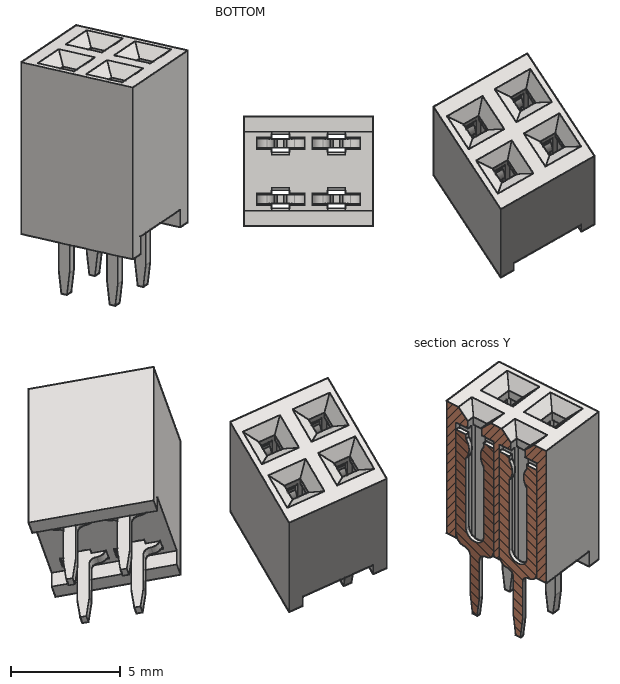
import cadquery as cq
import math


pitch = 2.54
contact_spots = [(sx * pitch / 2, sy * pitch / 2) for sx in (-1, 1) for sy in (-1, 1)]

overall_height = 11.5

housing_length = 5.88
housing_width = 5.0
housing_height = 8.5

foot_thickness = 0.7
recess_height = 0.87

funnel_width = 1.9
throat_width = 0.8
throat_length = 0.45
funnel_depth = (funnel_width - throat_width) / 2

cavity_width = 1.04
slot_width = 0.54
cavity_top = housing_height - funnel_depth - throat_length

tail_length = overall_height - housing_height
tail_width = 0.58
tip_width = 0.3
taper_length = 1.14
contact_thickness = 0.41

shoulder_z = 0.63
shoulder_fillet = 0.35
shoulder_round = 0.46
fork_width = tail_width + 2 * (shoulder_fillet + shoulder_round)
valley_radius = 0.51
tine_thickness = fork_width / 2 - valley_radius
valley_center_z = shoulder_z + tine_thickness + valley_radius
tine_top_z = 7.13
bulge_gap = 0.64
bulge_radius = 0.92
bulge_center_z = 6.32


def box_between(length, width, bottom, top):
    """Box centred on the Z axis, spanning the heights bottom to top."""
    return cq.Workplane("XY").workplane(offset=bottom).rect(length, width).extrude(top - bottom)


def make_socket_cutter():
    """Funnel, throat and cross-shaped cavity of one contact position."""
    funnel = (
        cq.Workplane("XY")
        .workplane(offset=housing_height)
        .rect(funnel_width, funnel_width)
        .workplane(offset=-funnel_depth)
        .rect(throat_width, throat_width)
        .loft(ruled=True)
    )
    throat = box_between(throat_width, throat_width, 0, housing_height - funnel_depth)
    cavity = box_between(throat_width, cavity_width, 0, cavity_top)
    tine_slot = box_between(fork_width, slot_width, 0, cavity_top)
    return funnel.union(throat).union(cavity).union(tine_slot)


def make_housing():
    """Block with a recessed underside and one socket per contact."""
    housing = box_between(housing_length, housing_width, 0, housing_height)
    recess_width = housing_width - 2 * foot_thickness
    housing = housing.cut(box_between(housing_length, recess_width, 0, recess_height))
    socket_cutter = make_socket_cutter()
    for x, y in contact_spots:
        housing = housing.cut(socket_cutter.translate((x, y, 0)))
    return housing


def make_contact():
    """Flat contact: tapered tail, rounded shoulders and two tines with inward bulges."""
    quarter_turn = math.sqrt(0.5)
    half_tail = tail_width / 2
    half_fork = fork_width / 2
    shoulder_x = half_tail + shoulder_fillet

    fillet_middle = (
        shoulder_x - shoulder_fillet * quarter_turn,
        shoulder_z - shoulder_fillet * (1 - quarter_turn),
    )
    round_middle = (
        shoulder_x + shoulder_round * quarter_turn,
        shoulder_z + shoulder_round * (1 - quarter_turn),
    )
    valley_middle = (valley_radius * quarter_turn, valley_center_z - valley_radius * quarter_turn)

    bulge_height = valley_radius - bulge_gap / 2
    bulge_half_chord = math.sqrt(bulge_radius**2 - (bulge_radius - bulge_height) ** 2)

    half_outline = (
        cq.Workplane("XZ")
        .moveTo(0, -tail_length)
        .lineTo(tip_width / 2, -tail_length)
        .lineTo(half_tail, taper_length - tail_length)
        .lineTo(half_tail, shoulder_z - shoulder_fillet)
        .threePointArc(fillet_middle, (shoulder_x, shoulder_z))
        .threePointArc(round_middle, (half_fork, shoulder_z + shoulder_round))
        .lineTo(half_fork, tine_top_z)
        .lineTo(valley_radius, tine_top_z)
        .lineTo(valley_radius, bulge_center_z + bulge_half_chord)
        .threePointArc((bulge_gap / 2, bulge_center_z), (valley_radius, bulge_center_z - bulge_half_chord))
        .lineTo(valley_radius, valley_center_z)
        .threePointArc(valley_middle, (0, valley_center_z - valley_radius))
    )
    return half_outline.mirrorY().extrude(contact_thickness / 2, both=True)


housing = make_housing()
contact = make_contact()
contacts = [contact.translate((x, y, 0)) for x, y in contact_spots]

result = cq.Compound.makeCompound([housing.val(), *[placed.val() for placed in contacts]])